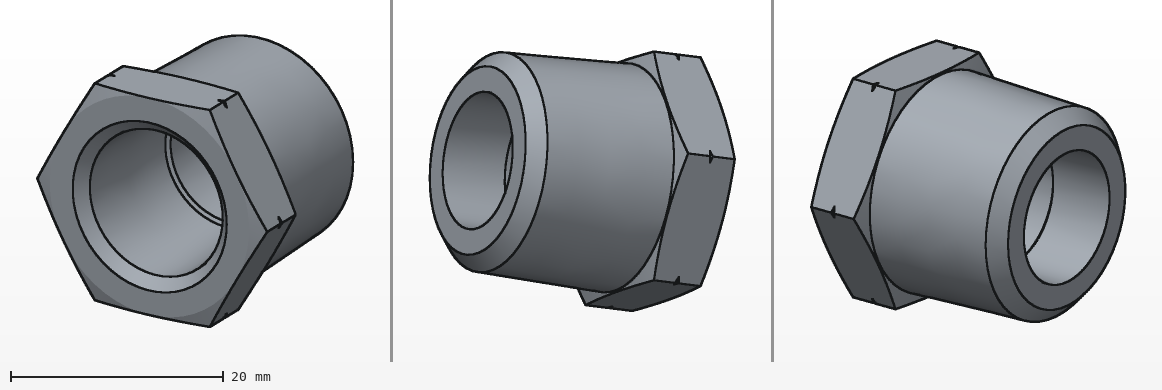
import cadquery as cq
import math


corner_count = 6
corner_width = 25.4
corner_radius = corner_width / 2
flat_radius = corner_radius * math.cos(math.pi / corner_count)
hexagon_length = 6.0
hexagon_bevel_angle = 15.0
groove_depth = 0.3
groove_width = 0.3

total_length = 21.0
spigot_root_diameter = 21.67
spigot_end_chamfer = 1.5
thread_taper = 1 / 16

mouth_diameter = 17.02
mouth_chamfer = 1.17
tapered_bore_end = 14.0
through_diameter = 13.0
bore_step_angle = 30.0

axis_start = (0, 0, 0)
axis_end = (0, 1, 0)


def revolve_profile(points):
    """Turn a closed (radius, Y) outline about the Y axis."""
    return cq.Workplane("XY").polyline(points).close().revolve(360, axis_start, axis_end)


def make_hexagon():
    """Hexagonal prism with both ends bevelled and a V groove round its corners."""
    prism = (
        cq.Workplane("XZ")
        .polygon(corner_count, corner_width)
        .extrude(-hexagon_length)
    )
    bevel_length = (corner_radius - flat_radius) * math.tan(math.radians(hexagon_bevel_angle))
    groove_middle = hexagon_length / 2
    envelope = revolve_profile([
        (0, 0),
        (flat_radius, 0),
        (corner_radius, bevel_length),
        (corner_radius, groove_middle - groove_width / 2),
        (corner_radius - groove_depth, groove_middle),
        (corner_radius, groove_middle + groove_width / 2),
        (corner_radius, hexagon_length - bevel_length),
        (flat_radius, hexagon_length),
        (0, hexagon_length),
    ])
    return prism.intersect(envelope)


def make_spigot():
    """Tapered spigot behind the hexagon with a 45 degree chamfer at its free end."""
    root_radius = spigot_root_diameter / 2
    chamfer_start = total_length - spigot_end_chamfer
    taper_end_radius = root_radius - (chamfer_start - hexagon_length) * thread_taper / 2
    return revolve_profile([
        (0, hexagon_length),
        (root_radius, hexagon_length),
        (taper_end_radius, chamfer_start),
        (taper_end_radius - spigot_end_chamfer, total_length),
        (0, total_length),
    ])


def make_bore():
    """Chamfered mouth, tapered bore, conical step and plain through hole."""
    mouth_radius = mouth_diameter / 2
    through_radius = through_diameter / 2
    taper_start_radius = mouth_radius - mouth_chamfer
    taper_end_radius = taper_start_radius - (tapered_bore_end - mouth_chamfer) * thread_taper / 2
    step_length = (taper_end_radius - through_radius) * math.tan(math.radians(bore_step_angle))
    return revolve_profile([
        (0, 0),
        (mouth_radius, 0),
        (taper_start_radius, mouth_chamfer),
        (taper_end_radius, tapered_bore_end),
        (through_radius, tapered_bore_end + step_length),
        (through_radius, total_length),
        (0, total_length),
    ])


result = make_hexagon().union(make_spigot()).cut(make_bore())